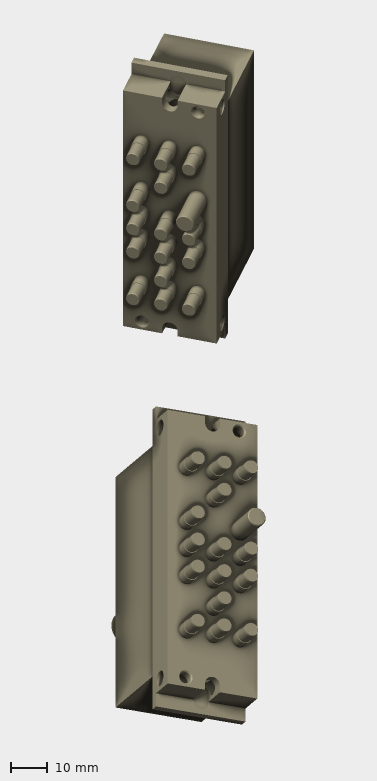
import cadquery as cq

block_width = 26.8
block_depth = 10.2
block_height = 80.7
flange_height = 88.5
flange_thickness = 2.4

housing_width = 25.75
housing_depth = 25.8
housing_height = 68.0

grid_height = 48.0
grid_row_gaps = 6
grid_pitch = grid_height / grid_row_gaps
pin_base_diameter = 4.3
pin_base_length = 3.45
pin_tip_diameter = 4.0
pin_length = 8.5
pin_chamfer_length = 0.4
pin_chamfer_inset = 0.13
pin_columns_by_row = {
    3: (-1, 0, 1),
    2: (0,),
    1: (-1,),
    0: (-1, 0, 1),
    -1: (-1, 0, 1),
    -2: (0,),
    -3: (-1, 0, 1),
}

guide_column = 1
guide_row = 1
guide_diameter = 5.3
guide_length = 11.95
guide_chamfer = 0.3

rear_offset = 7.1
knob_diameter = 10.0
knob_length = 5.05
knob_chamfer = 0.5
knob_z = -grid_pitch
screw_diameter = 6.0
screw_length = 1.1
screw_slot_width = 1.1
screw_slot_depth = 0.5
screw_z = -2 * grid_pitch

cross_hole_diameter = 4.4
cross_hole_z = 37.0
cross_hole_depth = block_depth / 2
long_hole_diameter = 4.3
long_hole_depth = 4.6
end_slot_width = 4.4
end_slot_length = 6.6
end_slot_margin = 1.4
end_slot_depth = 8.0
tapped_hole_diameter = 3.3
tapped_hole_mouth = 4.0
countersink_angle = 45
tapped_hole_z = 37.6
tapped_hole_depth = cross_hole_depth

housing_rear = block_depth + housing_depth


def box_from(y_start, width, depth, height):
    """Box centred on X and Z that runs toward +Y from y_start."""
    return cq.Workplane("XY").box(width, depth, height).translate((0, y_start + depth / 2, 0))


def rod(x, z, y_start, y_end, diameter):
    """Round bar along Y between two depths."""
    bar = cq.Workplane("XZ", origin=(x, y_start, z)).circle(diameter / 2)
    return bar.extrude(y_start - y_end)


def contact_pin(x, z):
    tip = rod(x, z, 0, -pin_length, pin_tip_diameter)
    tip = tip.faces("<Y").chamfer(pin_chamfer_length, pin_chamfer_inset)
    return tip.union(rod(x, z, 0, -pin_base_length, pin_base_diameter))


def guide_pin():
    pin = rod(guide_column * grid_pitch, guide_row * grid_pitch, 0, -guide_length, guide_diameter)
    return pin.faces("<Y").chamfer(guide_chamfer)


def knob():
    body = rod(-rear_offset, knob_z, housing_rear, housing_rear + knob_length, knob_diameter)
    return body.faces(">Y").chamfer(knob_chamfer)


def slotted_screw():
    head_end = housing_rear + screw_length
    head = rod(rear_offset, screw_z, housing_rear, head_end, screw_diameter)
    slot = box_from(head_end - screw_slot_depth, screw_diameter, screw_slot_depth, screw_slot_width)
    return head.cut(slot.translate((rear_offset, 0, screw_z)))


def end_slot(side):
    """Blind slot with round ends, open through the end face of the block."""
    center_z = side * (flange_height / 2 - end_slot_margin - end_slot_length / 2)
    outline = cq.Workplane("XZ", origin=(0, 0, center_z)).slot2D(end_slot_length, end_slot_width, 90)
    return outline.extrude(-end_slot_depth)


def cross_hole(side):
    """Hole along X through both sides of the block."""
    start = (-block_width / 2, cross_hole_depth, side * cross_hole_z)
    return cq.Workplane("YZ", origin=start).circle(cross_hole_diameter / 2).extrude(block_width)


def tapped_hole(side):
    """Countersunk hole from the front face into the cross hole."""
    x = side * grid_pitch
    z = side * tapped_hole_z
    mouth_depth = (tapped_hole_mouth - tapped_hole_diameter) / 2
    mouth_face = cq.Workplane("XZ", origin=(x, 0, z)).circle(tapped_hole_mouth / 2)
    mouth = mouth_face.extrude(-mouth_depth, taper=countersink_angle)
    return rod(x, z, 0, tapped_hole_depth, tapped_hole_diameter).union(mouth)


def long_hole():
    """Hole along Z through the whole block, joining both end slots."""
    start = (0, long_hole_depth, -block_height / 2)
    return cq.Workplane("XY", origin=start).circle(long_hole_diameter / 2).extrude(block_height)


block = box_from(0, block_width, block_depth, block_height)
block = block.union(box_from(block_depth - flange_thickness, block_width, flange_thickness, flange_height))
block = block.cut(long_hole())
for side in (-1, 1):
    block = block.cut(end_slot(side)).cut(cross_hole(side)).cut(tapped_hole(side))

result = block.union(box_from(block_depth, housing_width, housing_depth, housing_height))
for row, columns in pin_columns_by_row.items():
    for column in columns:
        result = result.union(contact_pin(column * grid_pitch, row * grid_pitch))
result = result.union(guide_pin()).union(knob()).union(slotted_screw())